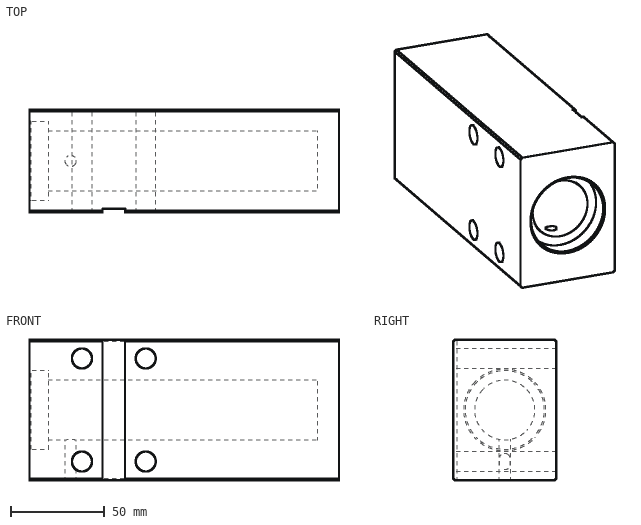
import cadquery as cq

length = 165.0
depth = 55.0
height = 75.0
edge_chamfer = 1.0

keyway_start = 39.0
keyway_width = 12.0
keyway_depth = 2.0
keyway_centre = keyway_start + keyway_width / 2
hole_diameter = 10.5
hole_spacing_x = 34.0
hole_spacing_z = 55.0

bore_diameter = 32.0
counterbore_diameter = 42.0
counterbore_depth = 10.0
mouth_chamfer = 0.8
side_wall = (depth - bore_diameter) / 2
bore_depth = length - side_wall

port_diameter = 6.0
port_x = 22.0


def make_block():
    block = cq.Workplane("XY").box(length, depth, height, centered=False)
    return block.edges("|X").chamfer(edge_chamfer)


def make_keyway():
    keyway = cq.Workplane("XY").box(keyway_width, keyway_depth, height, centered=False)
    return keyway.translate((keyway_start, 0, 0))


def make_mounting_holes():
    return (
        cq.Workplane("XZ", origin=(keyway_centre, 0, height / 2))
        .rarray(hole_spacing_x, hole_spacing_z, 2, 2)
        .circle(hole_diameter / 2)
        .extrude(-depth)
    )


def make_bore():
    bore_radius = bore_diameter / 2
    counterbore_radius = counterbore_diameter / 2
    mouth_radius = counterbore_radius + mouth_chamfer
    half_section = (
        cq.Workplane("XY", origin=(0, depth / 2, height / 2))
        .moveTo(0, 0)
        .lineTo(0, mouth_radius)
        .lineTo(mouth_chamfer, counterbore_radius)
        .lineTo(counterbore_depth, counterbore_radius)
        .lineTo(counterbore_depth, bore_radius)
        .lineTo(bore_depth, bore_radius)
        .lineTo(bore_depth, 0)
        .close()
    )
    return half_section.revolve(360, (0, 0, 0), (1, 0, 0))


def make_port():
    port = cq.Workplane("XY", origin=(port_x, depth / 2, 0))
    return port.circle(port_diameter / 2).extrude(height / 2)


result = (
    make_block()
    .cut(make_keyway())
    .cut(make_mounting_holes())
    .cut(make_bore())
    .cut(make_port())
)